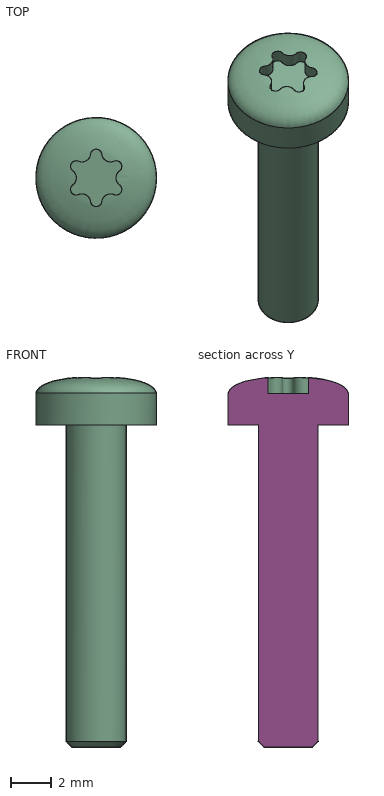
import cadquery as cq
import math

SHANK_DIAMETER = 3.0
SHANK_LENGTH = 16.0
TIP_DIAMETER = 2.4
TIP_CHAMFER_LENGTH = 0.3

HEAD_DIAMETER = 6.0
RIM_HEIGHT = 1.6
DOME_APEX_HEIGHT = 2.405

DOME_LEVEL_REACH = 2.15
SHOULDER_CONTROL_RADIUS = 2.85
SHOULDER_CONTROL_DROP = 0.38

LOBE_COUNT = 6
FIRST_LOBE_ANGLE = 90.0
RECESS_DIAMETER = 2.85
LOBE_TIP_RADIUS = 0.28
VALLEY_DIAMETER = 1.97
RECESS_FLOOR_HEIGHT = 1.58


def polar(radius, angle):
    """Point at a distance from the screw axis and an angle in degrees."""
    return (radius * math.cos(math.radians(angle)), radius * math.sin(math.radians(angle)))


def screw_blank():
    """Revolve the half outline of the head and the shank around Z."""
    shank_radius = SHANK_DIAMETER / 2
    head_radius = HEAD_DIAMETER / 2
    dome_controls = [
        (0, DOME_APEX_HEIGHT),
        (DOME_LEVEL_REACH, DOME_APEX_HEIGHT),
        (SHOULDER_CONTROL_RADIUS, DOME_APEX_HEIGHT - SHOULDER_CONTROL_DROP),
        (head_radius, RIM_HEIGHT),
    ]
    outline = (
        cq.Workplane("XZ")
        .bezier(dome_controls)
        .lineTo(head_radius, 0)
        .lineTo(shank_radius, 0)
        .lineTo(shank_radius, TIP_CHAMFER_LENGTH - SHANK_LENGTH)
        .lineTo(TIP_DIAMETER / 2, -SHANK_LENGTH)
        .lineTo(0, -SHANK_LENGTH)
        .close()
    )
    return outline.revolve(360, (0, 0, 0), (0, 1, 0))


def valley_arc_radius(lobe_centre, valley_radius, half_step):
    """Radius of the valley arc that touches both neighbouring lobe arcs from outside.

    The valley arc's centre lies at valley_radius plus its own radius from the axis, and its
    distance to a lobe centre equals the sum of the two radii (law of cosines).
    """
    lobe_reach = lobe_centre * math.cos(math.radians(half_step))
    numerator = lobe_centre**2 + valley_radius**2 - 2 * lobe_reach * valley_radius - LOBE_TIP_RADIUS**2
    return numerator / (2 * (LOBE_TIP_RADIUS - valley_radius + lobe_reach))


def drive_recess():
    """Six-lobe prism with tangent lobe and valley arcs, from the recess floor to above the dome."""
    recess_radius = RECESS_DIAMETER / 2
    valley_radius = VALLEY_DIAMETER / 2
    step = 360 / LOBE_COUNT
    half_step = step / 2
    lobe_centre = recess_radius - LOBE_TIP_RADIUS
    arc_radius = valley_arc_radius(lobe_centre, valley_radius, half_step)
    valley_centre = valley_radius + arc_radius
    lobe_share = LOBE_TIP_RADIUS / (LOBE_TIP_RADIUS + arc_radius)

    def tangent_point(lobe_angle, valley_angle):
        """Point where a lobe arc meets a valley arc, on the line between their centres."""
        lobe = polar(lobe_centre, lobe_angle)
        valley = polar(valley_centre, valley_angle)
        return tuple(a + lobe_share * (b - a) for a, b in zip(lobe, valley))

    outline = cq.Workplane("XY", origin=(0, 0, RECESS_FLOOR_HEIGHT))
    outline = outline.moveTo(*tangent_point(FIRST_LOBE_ANGLE, FIRST_LOBE_ANGLE - half_step))
    for i in range(LOBE_COUNT):
        lobe_angle = FIRST_LOBE_ANGLE + i * step
        valley_angle = lobe_angle + half_step
        lobe_end = tangent_point(lobe_angle, valley_angle)
        valley_end = tangent_point(lobe_angle + step, valley_angle)
        outline = outline.threePointArc(polar(recess_radius, lobe_angle), lobe_end)
        outline = outline.threePointArc(polar(valley_radius, valley_angle), valley_end)
    return outline.close().extrude(DOME_APEX_HEIGHT)


result = screw_blank().cut(drive_recess())